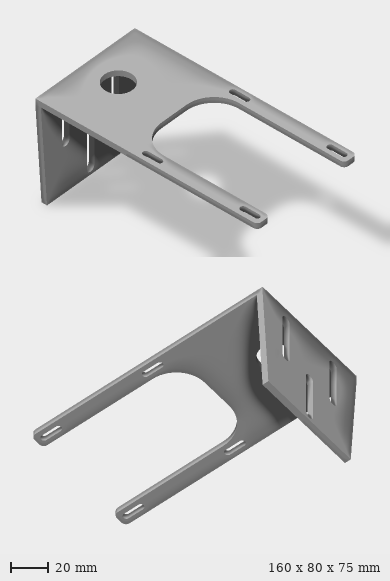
import cadquery as cq

length = 160.0
width = 80.0
height = 75.0
plate_thickness = 4.0
leg_thickness = 4.0
leg_bottom_width = 70.0

hole_diameter = 20.0
hole_x = 24.0
fork_start_x = 64.0
fork_width = 60.0
fork_corner_radius = 20.0
arm_tip_radius = 3.0

arm_slot_length = 14.0
arm_slot_width = 4.0
arm_slot_centers_x = (80.0, 150.0)
arm_slot_y = (width + fork_width) / 4

leg_slot_length = 35.8
leg_slot_width = 6.0
leg_slot_spacing = 40.0
upper_slot_top_gap = 7.0
lower_slot_bottom_gap = 2.0
upper_slot_z = height - upper_slot_top_gap - leg_slot_length / 2
lower_slot_z = lower_slot_bottom_gap + leg_slot_length / 2


def make_plate():
    """Horizontal plate with a round hole, a fork cutout and four arm slots."""
    plate_bottom = cq.Workplane("XY").workplane(offset=height - plate_thickness)
    fork_length = length - fork_start_x
    fork = (
        plate_bottom.center(fork_start_x + fork_length / 2, 0)
        .rect(fork_length, fork_width)
        .extrude(plate_thickness)
        .edges("|Z and <X")
        .fillet(fork_corner_radius)
    )
    plate = (
        plate_bottom.center(length / 2, 0)
        .rect(length, width)
        .extrude(plate_thickness)
        .cut(fork)
        .edges("|Z and >X")
        .fillet(arm_tip_radius)
    )
    hole = plate_bottom.center(hole_x, 0).circle(hole_diameter / 2).extrude(plate_thickness)
    slots = (
        plate_bottom.pushPoints([(x, side * arm_slot_y) for x in arm_slot_centers_x for side in (-1, 1)])
        .slot2D(arm_slot_length, arm_slot_width)
        .extrude(plate_thickness)
    )
    return plate.cut(hole).cut(slots)


def make_leg():
    """Vertical leg that narrows from the underside of the plate down, with three upright slots."""
    leg_top = height - plate_thickness
    leg = (
        cq.Workplane("YZ")
        .polyline([
            (-leg_bottom_width / 2, 0),
            (leg_bottom_width / 2, 0),
            (width / 2, leg_top),
            (-width / 2, leg_top),
        ])
        .close()
        .extrude(leg_thickness)
    )
    slots = (
        cq.Workplane("YZ")
        .pushPoints([
            (-leg_slot_spacing / 2, upper_slot_z),
            (leg_slot_spacing / 2, upper_slot_z),
            (0, lower_slot_z),
        ])
        .slot2D(leg_slot_length, leg_slot_width, 90)
        .extrude(leg_thickness)
    )
    return leg.cut(slots)


result = make_plate().union(make_leg())